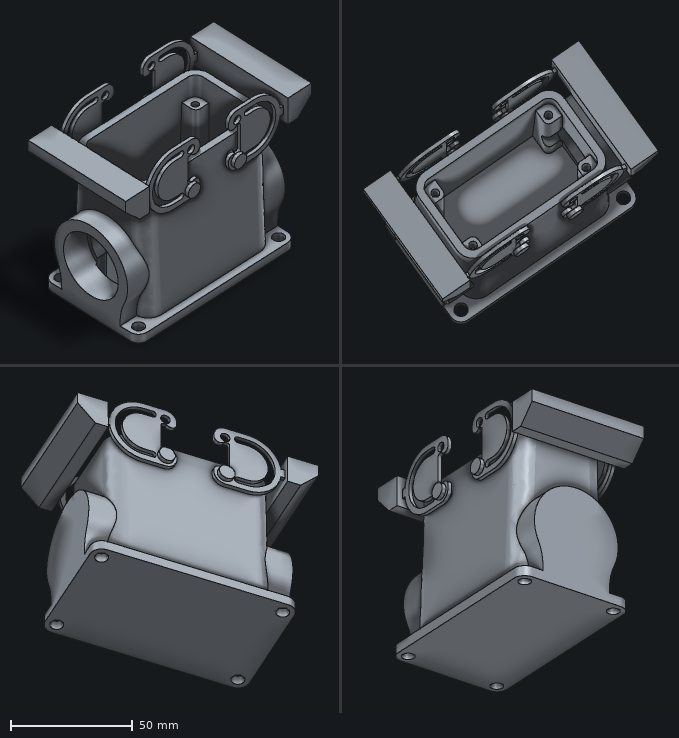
import cadquery as cq
import math

flange_half_x = 27.8
flange_half_y = 46.2
flange_height = 4.7
flange_corner_radius = 5.2
flange_hole_radius = 2.8

rim_half_x = 42.8 / 2
foot_half_x = 23.9
shell_half_y = 36.6
shell_corner_radius = 7.8
shell_top = 73.8
rim_bottom = 68.2
wall = 3.5
floor_top = flange_height

boss_inner_x = 10.0
boss_inner_y = 25.4
boss_top = 61.9
boss_corner_radius = 2.6
boss_hole_x = 13.5
boss_hole_y = 28.6
boss_hole_radius = 1.7
boss_hole_depth = 13.1

entry_z = 26.9
lug_radius = 21.4
lug_foot_half_x = 17.0
lug_flare_radius = 26.2
entry_radius = 15.9
entry_ledge_y = 32.4
boss_relief_radius = 14.0

pivot_y = 13.5
pivot_z = 64.0
plate_inner_x = 24.0
plate_outer_x = 25.8
lever_mid_z = 74.5
hook_end_radius = 5.1
plate_bend_y = 23.3
hook_height = lever_mid_z - pivot_z
plate_bend_radius = hook_height + hook_end_radius
plate_edge_y = 15.5
hook_tip_radius = 2.6
hook_tip_drop = 1.2
notch_drop = 2.8
notch_radius = 1.0

slot_radius = 11.2
slot_width = 3.0
slot_end_y = 19.3

pin_radius = 2.1
pin_inner_x = 20.7
pin_head_radius = 3.6
pin_head_outer_x = flange_half_x

bar_half_x = 57.0 / 2
bar_inner_y = 40.5
bar_outer_y = 54.5
bar_top = 82.4
bar_bottom = 68.2
bar_chamfer_z = 76.5
bar_chamfer_y = 46.4
neck_height = 4.3


def rounded_block(half_x, half_y, radius, bottom, height):
    block = cq.Workplane("XY").workplane(offset=bottom).rect(2 * half_x, 2 * half_y).extrude(height)
    return block.edges("|Z").fillet(radius)


def rounded_sketch(half_x, half_y, radius):
    return cq.Sketch().rect(2 * half_x, 2 * half_y).vertices().fillet(radius)


def drafted_block(inset, bottom, top):
    """Shell outline moved inward by inset: drafted below the rim, straight above it."""
    half_y = shell_half_y - inset
    radius = shell_corner_radius - inset
    lower = rounded_sketch(foot_half_x - inset, half_y, radius)
    upper = rounded_sketch(rim_half_x - inset, half_y, radius)
    foot_location = cq.Location((0, 0, bottom))
    rim_location = cq.Location((0, 0, rim_bottom))
    drafted = (
        cq.Workplane("XY")
        .placeSketch(lower.moved(foot_location), upper.moved(rim_location))
        .loft(ruled=True)
    )
    rim = rounded_block(rim_half_x - inset, half_y, radius, rim_bottom, top - rim_bottom)
    return drafted.union(rim)


def base_flange():
    """Foot plate with a mounting hole centered on each corner rounding."""
    hole_x = flange_half_x - flange_corner_radius
    hole_y = flange_half_y - flange_corner_radius
    holes = (
        cq.Workplane("XY")
        .rect(2 * hole_x, 2 * hole_y, forConstruction=True)
        .vertices()
        .circle(flange_hole_radius)
        .extrude(flange_height)
    )
    return rounded_block(flange_half_x, flange_half_y, flange_corner_radius, 0, flange_height).cut(holes)


def entry_lugs():
    """Round lug flaring down to a narrower foot, running the full length of the flange."""
    flare_x = lug_foot_half_x + lug_flare_radius
    center_distance = lug_radius + lug_flare_radius
    flare_z = entry_z - math.sqrt(center_distance**2 - flare_x**2)
    join_x = flare_x * lug_radius / center_distance
    join_z = entry_z + (flare_z - entry_z) * lug_radius / center_distance
    half_angle = math.atan2(entry_z - flare_z, flare_x) / 2
    flare_mid_x = flare_x - lug_flare_radius * math.cos(half_angle)
    flare_mid_z = flare_z + lug_flare_radius * math.sin(half_angle)
    return (
        cq.Workplane("XZ")
        .moveTo(-lug_foot_half_x, 0)
        .lineTo(lug_foot_half_x, 0)
        .lineTo(lug_foot_half_x, flare_z)
        .threePointArc((flare_mid_x, flare_mid_z), (join_x, join_z))
        .threePointArc((0, entry_z + lug_radius), (-join_x, join_z))
        .threePointArc((-flare_mid_x, flare_mid_z), (-lug_foot_half_x, flare_z))
        .close()
        .extrude(flange_half_y, both=True)
    )


def screw_boss(side_x, side_y):
    size_x = foot_half_x - boss_inner_x
    size_y = shell_half_y - boss_inner_y
    boss = (
        cq.Workplane("XY")
        .box(size_x, size_y, boss_top - floor_top, centered=(True, True, False))
        .edges("|Z")
        .fillet(boss_corner_radius)
        .translate((side_x * (boss_inner_x + size_x / 2), side_y * (boss_inner_y + size_y / 2), floor_top))
    )
    hole = (
        cq.Workplane("XY", origin=(side_x * boss_hole_x, side_y * boss_hole_y, boss_top - boss_hole_depth))
        .circle(boss_hole_radius)
        .extrude(boss_hole_depth)
    )
    return boss.cut(hole)


def entry_bore():
    """Bore through the -Y lug, stepping down to a narrower relief through the bosses."""
    entry_plane = cq.Workplane("XZ", origin=(0, -flange_half_y, entry_z))
    entry = entry_plane.circle(entry_radius).extrude(-(flange_half_y - entry_ledge_y))
    relief = entry_plane.circle(boss_relief_radius).extrude(-(flange_half_y - boss_inner_y))
    return entry.union(relief)


def make_housing():
    shell = drafted_block(0, flange_height, shell_top)
    cavity = drafted_block(wall, floor_top, shell_top)
    body = shell.union(base_flange()).union(entry_lugs()).cut(cavity)
    for side_x in (-1, 1):
        for side_y in (-1, 1):
            body = body.union(screw_boss(side_x, side_y).intersect(shell))
    return body.cut(entry_bore())


def side_plate():
    """Hooked plate with a curved slot, lying between the inner and outer plate faces at +X."""
    plane = cq.Workplane("YZ", origin=(plate_inner_x, 0, lever_mid_z))
    thickness = plate_outer_x - plate_inner_x
    diagonal = math.sqrt(0.5)
    notch_z = hook_height - notch_drop
    tip_y = pivot_y - hook_end_radius + hook_tip_radius
    tip_z = hook_height - hook_tip_drop
    tip_start_y = tip_y + math.sqrt(hook_tip_radius**2 - (tip_z - notch_z) ** 2)
    notch_corner = notch_radius * (1 - diagonal)
    plate = (
        plane.moveTo(plate_edge_y, 0)
        .lineTo(plate_edge_y, notch_z - notch_radius)
        .threePointArc(
            (plate_edge_y - notch_corner, notch_z - notch_corner), (plate_edge_y - notch_radius, notch_z)
        )
        .lineTo(tip_start_y, notch_z)
        .threePointArc((tip_y, tip_z - hook_tip_radius), (tip_y - hook_tip_radius, tip_z))
        .lineTo(pivot_y - hook_end_radius, hook_height)
        .threePointArc(
            (pivot_y - hook_end_radius * diagonal, hook_height + hook_end_radius * diagonal),
            (pivot_y, plate_bend_radius),
        )
        .lineTo(plate_bend_y, plate_bend_radius)
        .threePointArc(
            (plate_bend_y + plate_bend_radius * diagonal, plate_bend_radius * diagonal),
            (plate_bend_y + plate_bend_radius, 0),
        )
        .mirrorX()
        .extrude(thickness)
    )
    slot_outer = slot_radius + slot_width / 2
    slot_inner = slot_radius - slot_width / 2
    slot = (
        plane.moveTo(plate_bend_y + slot_outer, 0)
        .threePointArc(
            (plate_bend_y + slot_outer * diagonal, slot_outer * diagonal), (plate_bend_y, slot_outer)
        )
        .lineTo(slot_end_y, slot_outer)
        .threePointArc((slot_end_y - slot_width / 2, slot_radius), (slot_end_y, slot_inner))
        .lineTo(plate_bend_y, slot_inner)
        .threePointArc(
            (plate_bend_y + slot_inner * diagonal, slot_inner * diagonal), (plate_bend_y + slot_inner, 0)
        )
        .lineTo(plate_bend_y + slot_outer, 0)
        .close()
        .extrude(thickness)
    )
    hook_hole = plane.center(pivot_y, hook_height).circle(pin_radius).extrude(thickness)
    return plate.cut(slot).cut(slot.mirror("XY", (0, 0, lever_mid_z))).cut(hook_hole)


def neck():
    start_y = plate_bend_y + slot_radius + slot_width / 2
    return (
        cq.Workplane("XY", origin=(plate_inner_x, start_y, lever_mid_z))
        .box(plate_outer_x - plate_inner_x, bar_inner_y - start_y, neck_height, centered=(False, False, True))
    )


def pivot_pin():
    shaft_plane = cq.Workplane("YZ", origin=(pin_inner_x, pivot_y, pivot_z))
    head_plane = cq.Workplane("YZ", origin=(plate_outer_x, pivot_y, pivot_z))
    shaft = shaft_plane.circle(pin_radius).extrude(plate_outer_x - pin_inner_x)
    return shaft.union(head_plane.circle(pin_head_radius).extrude(pin_head_outer_x - plate_outer_x))


def grip_bar():
    return (
        cq.Workplane("YZ")
        .polyline(
            [
                (bar_inner_y, bar_bottom),
                (bar_inner_y, bar_top),
                (bar_outer_y, bar_top),
                (bar_outer_y, bar_chamfer_z),
                (bar_chamfer_y, bar_bottom),
            ]
        )
        .close()
        .extrude(bar_half_x, both=True)
    )


def make_lever():
    """Lever at +Y: two side plates with pivot pins, joined by the grip bar."""
    side = side_plate().union(neck()).union(pivot_pin())
    return grip_bar().union(side).union(side.mirror("YZ"))


rear_lever = make_lever()
front_lever = rear_lever.mirror("XZ")
housing = make_housing().union(rear_lever).cut(front_lever)

result = cq.Compound.makeCompound([housing.val(), front_lever.val()])